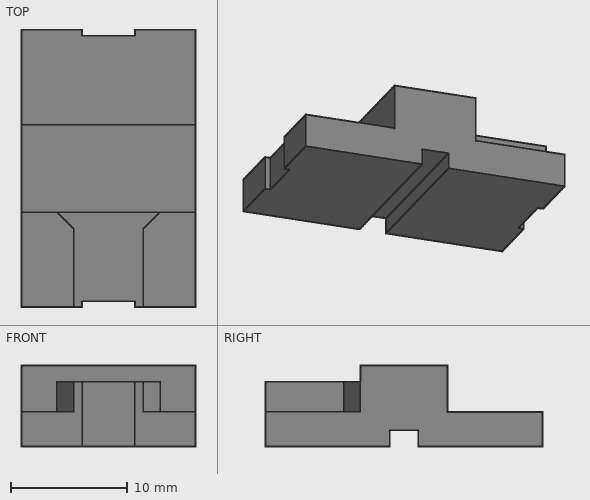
import cadquery as cq

width = 15.0
length = 23.9
height = 7.0

plate_height = 2.99
block_length = 7.5

tongue_height = 5.6
tongue_width = 6.02
flare = 1.43

notch_width = 4.55
notch_depth = 0.5
slot_length = 2.44
slot_height = 1.4

front_y = -length / 2
block_front_y = -block_length / 2


def box_on_floor(x_size, y_size, z_size, y_center=0):
    """Box standing on Z = 0 and centered on X = 0."""
    box = cq.Workplane("XY").box(x_size, y_size, z_size, centered=(True, True, False))
    return box.translate((0, y_center, 0))


def make_tongue():
    half_width = tongue_width / 2
    root_half_width = half_width + flare
    outline = [
        (-half_width, front_y),
        (half_width, front_y),
        (half_width, block_front_y - flare),
        (root_half_width, block_front_y),
        (-root_half_width, block_front_y),
        (-half_width, block_front_y - flare),
    ]
    return cq.Workplane("XY").polyline(outline).close().extrude(tongue_height)


plate = box_on_floor(width, length, plate_height)
block = box_on_floor(width, block_length, height)
body = plate.union(block).union(make_tongue())

for end in (-1, 1):
    notch_y = end * (length - notch_depth) / 2
    body = body.cut(box_on_floor(notch_width, notch_depth, height, notch_y))

result = body.cut(box_on_floor(width, slot_length, slot_height))